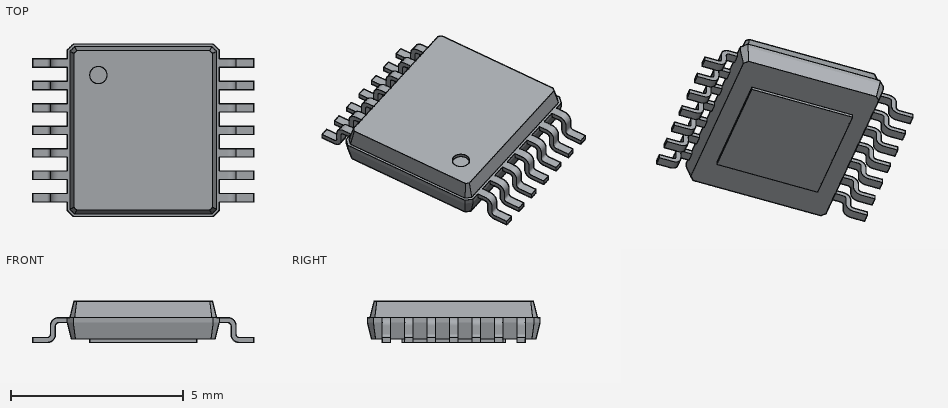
import cadquery as cq
import math

body_length_x = 4.4
body_width_y = 5.0
body_bottom = 0.1
body_top = 1.2
taper_angle = 14.0
upper_step = 0.075
bottom_chamfer = 0.12
band_chamfer = 0.175
upper_chamfer = 0.14
top_chamfer = 0.08

lead_thickness = 0.15
lead_width = 0.25
lead_pitch = 0.65
leads_per_side = 7
lead_span = 6.4
lead_shank_span = 5.38
bend_inner_radius = 0.09
lead_embedment = 0.3

pad_length_x = 3.1
pad_width_y = 3.0

mark_diameter = 0.5
mark_depth = 0.1
mark_x = -1.3
mark_y = 1.6

body_middle = (body_bottom + body_top) / 2
band_bottom = body_middle - lead_thickness / 2
band_top = body_middle + lead_thickness / 2
bend_outer_radius = bend_inner_radius + lead_thickness


def chamfered_rectangle(inset, chamfer, height):
    """Chamfer-cornered rectangular wire at a given height, set in evenly from the band outline."""
    half_x = body_length_x / 2 - inset
    half_y = body_width_y / 2 - inset
    outline = [
        (half_x, half_y - chamfer),
        (half_x - chamfer, half_y),
        (chamfer - half_x, half_y),
        (-half_x, half_y - chamfer),
        (-half_x, chamfer - half_y),
        (chamfer - half_x, -half_y),
        (half_x - chamfer, -half_y),
        (half_x, chamfer - half_y),
    ]
    return cq.Wire.makePolygon([cq.Vector(x, y, height) for x, y in outline], close=True)


def make_body():
    taper_inset = (body_top - band_top) * math.tan(math.radians(taper_angle))
    bottom_outline = chamfered_rectangle(taper_inset, bottom_chamfer, body_bottom)
    band_bottom_outline = chamfered_rectangle(0, band_chamfer, band_bottom)
    band_top_outline = chamfered_rectangle(0, band_chamfer, band_top)
    upper_outline = chamfered_rectangle(upper_step, upper_chamfer, band_top)
    top_outline = chamfered_rectangle(upper_step + taper_inset, top_chamfer, body_top)

    lower = cq.Solid.makeLoft([bottom_outline, band_bottom_outline], True)
    band = cq.Solid.makeLoft([band_bottom_outline, band_top_outline], True)
    upper = cq.Solid.makeLoft([upper_outline, top_outline], True)
    return cq.Workplane(lower).union(cq.Workplane(band)).union(cq.Workplane(upper))


def make_pad():
    return cq.Workplane("XY").box(pad_length_x, pad_width_y, body_bottom, centered=(True, True, False))


def make_lead():
    """One gull-wing lead on the +X side, centred on Y = 0 and standing on Z = 0."""
    root = body_length_x / 2 - lead_embedment
    tip = lead_span / 2
    shank_outer = lead_shank_span / 2
    shank_inner = shank_outer - lead_thickness
    shoulder_x = shank_outer - bend_outer_radius
    shoulder_z = band_top - bend_outer_radius
    heel_x = shank_inner + bend_outer_radius
    heel_z = bend_outer_radius
    profile = (
        cq.Workplane("XZ")
        .moveTo(root, band_top)
        .lineTo(shoulder_x, band_top)
        .radiusArc((shank_outer, shoulder_z), bend_outer_radius)
        .lineTo(shank_outer, heel_z)
        .radiusArc((heel_x, lead_thickness), -bend_inner_radius)
        .lineTo(tip, lead_thickness)
        .lineTo(tip, 0)
        .lineTo(heel_x, 0)
        .radiusArc((shank_inner, heel_z), bend_outer_radius)
        .lineTo(shank_inner, shoulder_z)
        .radiusArc((shoulder_x, band_bottom), -bend_inner_radius)
        .lineTo(root, band_bottom)
        .close()
    )
    return profile.extrude(lead_width / 2, both=True)


def add_leads(part):
    right_lead = make_lead()
    left_lead = right_lead.mirror("YZ")
    first_y = -lead_pitch * (leads_per_side - 1) / 2
    for index in range(leads_per_side):
        offset = (0, first_y + index * lead_pitch, 0)
        part = part.union(right_lead.translate(offset)).union(left_lead.translate(offset))
    return part


def make_pin_one_mark():
    mark_floor = body_top - mark_depth
    return (
        cq.Workplane("XY")
        .workplane(offset=mark_floor)
        .center(mark_x, mark_y)
        .circle(mark_diameter / 2)
        .extrude(mark_depth)
    )


result = add_leads(make_body().union(make_pad())).cut(make_pin_one_mark())